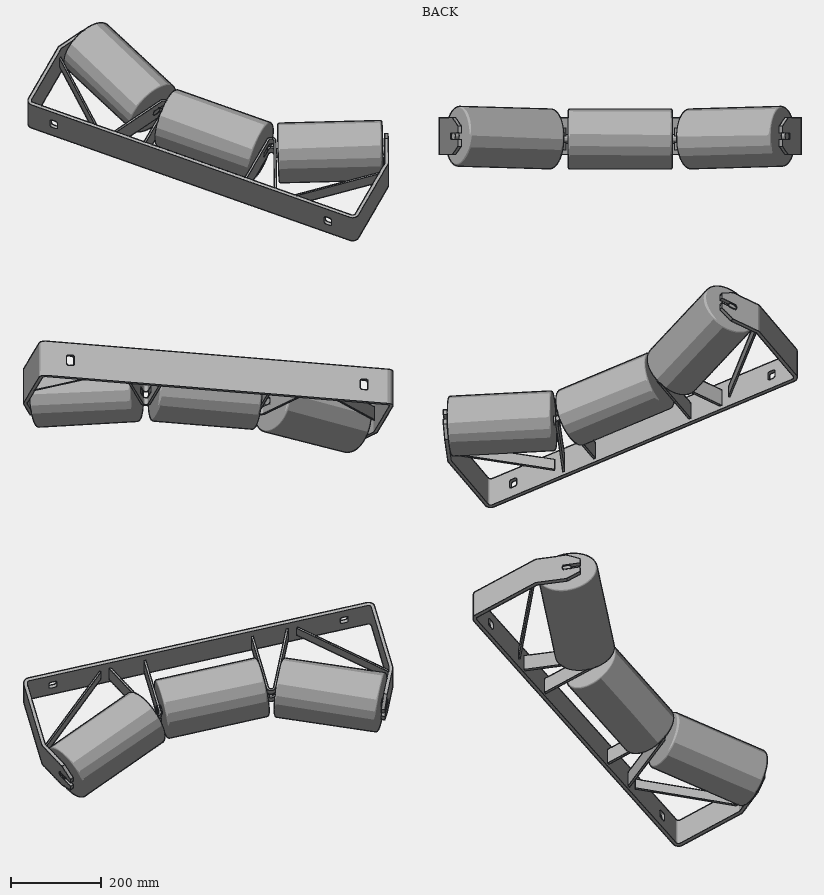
import cadquery as cq
import math

frame_length = 800.0
frame_height = 82.0
frame_thickness = 8.0
frame_bend_radius = 14.0
half_length = frame_length / 2
trough_angle = 25.0
wing_start = 175.0
wing_length = 99.0
wing_chamfer_along = 30.0
wing_chamfer_across = 18.0
mount_spacing = 664.0
mount_width = 18.0
mount_height = 25.0
mount_corner_radius = 5.0

roller_diameter = 133.0
roller_length = 230.0
roller_edge_radius = 5.0
shaft_diameter = 20.0
shaft_flat_width = 14.0
shaft_stub = 10.0
shaft_neck = 4.0
forward_tilt = 1.5
centre_roller_y = 125.0
centre_roller_z = -6.0
side_roller_x = -255.0
side_roller_y = 184.0
side_roller_z = centre_roller_z / 2
shaft_length = roller_length + 2 * shaft_stub

hairpin_height = 48.0
hairpin_thickness = 5.0
hairpin_bend_radius = 10.0
hairpin_top = 153.0

brace_height = 30.0
brace_thickness = 4.0
brace_wall_y = 164.0
brace_foot_x = -226.0

slope_sin = math.sin(math.radians(trough_angle))
slope_cos = math.cos(math.radians(trough_angle))
slope_half_tan = math.tan(math.radians(trough_angle / 2))
frame_inner_x = half_length - frame_thickness
shaft_end_x = shaft_length / 2


def place_centre(shape):
    return shape.translate((0, centre_roller_y, centre_roller_z))


def place_left(shape):
    """Swing a shape from the X axis onto the left roller axis."""
    tilted = shape.rotate((0, 0, 0), (0, 1, 0), forward_tilt)
    swung = tilted.rotate((0, 0, 0), (0, 0, 1), -trough_angle)
    return swung.translate((side_roller_x, side_roller_y, side_roller_z))


def round_bar(diameter, length):
    """Cylinder along X, centred on the origin."""
    return cq.Workplane("YZ", origin=(-length / 2, 0, 0)).circle(diameter / 2).extrude(length)


def flatted_bar(length):
    """Round bar along X with two flats facing +Z and -Z."""
    bar = round_bar(shaft_diameter, length)
    return bar.intersect(cq.Workplane("XY").box(length, shaft_diameter, shaft_flat_width))


def make_roller():
    """Roller along X: drum, round shaft necks and flatted shaft ends in one body."""
    drum = round_bar(roller_diameter, roller_length)
    drum = drum.faces("<X or >X").edges().fillet(roller_edge_radius)
    neck = round_bar(shaft_diameter, roller_length + 2 * shaft_neck)
    return drum.union(neck).union(flatted_bar(shaft_length))


def make_shaft_slot():
    """Open slot in which a roller's shaft ends rest, running out towards +Y."""
    reach = shaft_length + 2 * frame_thickness
    opening = roller_diameter / 2
    mouth = cq.Workplane("XY").box(reach, opening, shaft_flat_width)
    return flatted_bar(reach).union(mouth.translate((0, opening / 2, 0)))


def make_frame():
    """Bent strip: long base, two side walls and two wings leaning inwards."""
    outer_base = (-half_length, 0)
    outer_bend = (-half_length, wing_start)
    outer_tip = (-half_length + wing_length * slope_sin, wing_start + wing_length * slope_cos)
    inner_tip = (outer_tip[0] + frame_thickness * slope_cos, outer_tip[1] - frame_thickness * slope_sin)
    inner_bend = (-frame_inner_x, wing_start - frame_thickness * slope_half_tan)
    inner_base = (-frame_inner_x, frame_thickness)

    left_half = [inner_base, inner_bend, inner_tip, outer_tip, outer_bend, outer_base]
    outline = left_half + [(-x, y) for x, y in reversed(left_half)]
    strip = cq.Workplane("XY").polyline(outline).close().extrude(frame_height / 2, both=True)

    inner_radius = frame_bend_radius - frame_thickness
    bends = [(outer_base, frame_bend_radius), (inner_base, inner_radius)]
    bends += [(outer_bend, frame_bend_radius), (inner_bend, inner_radius)]
    for (x, y), radius in bends:
        for side in (1, -1):
            strip = strip.edges(cq.NearestToPointSelector((side * x, y, 0))).fillet(radius)

    wing_plane = cq.Plane(
        origin=(outer_tip[0], outer_tip[1], 0),
        xDir=(slope_sin, slope_cos, 0),
        normal=(slope_cos, -slope_sin, 0),
    )
    for edge in (1, -1):
        corner_z = edge * frame_height / 2
        corner = [(0, corner_z), (-wing_chamfer_along, corner_z), (0, corner_z - edge * wing_chamfer_across)]
        chamfer = cq.Workplane(wing_plane).polyline(corner).close().extrude(frame_thickness)
        strip = strip.cut(chamfer).cut(chamfer.mirror("YZ"))

    mounts = (
        cq.Workplane("XZ")
        .pushPoints([(-mount_spacing / 2, 0), (mount_spacing / 2, 0)])
        .rect(mount_width, mount_height)
        .extrude(-frame_thickness)
        .edges("|Y")
        .fillet(mount_corner_radius)
    )
    slot = place_left(make_shaft_slot())
    return strip.cut(mounts).cut(slot).cut(slot.mirror("YZ"))


def make_hairpin():
    """Left hairpin: an upright leg and a leaning leg joined by a round bend."""
    upright_x = -(shaft_end_x - hairpin_thickness)
    bend_x = upright_x - hairpin_bend_radius
    bend_y = hairpin_top - hairpin_bend_radius

    def leaning_foot(radius):
        drop = bend_y - frame_thickness
        return (bend_x - (radius + drop * slope_sin) / slope_cos, frame_thickness)

    def bend_end(radius):
        return (bend_x - radius * slope_cos, bend_y + radius * slope_sin)

    outer = hairpin_bend_radius
    inner = outer - hairpin_thickness
    profile = (
        cq.Workplane("XY")
        .moveTo(bend_x + outer, frame_thickness)
        .lineTo(bend_x + outer, bend_y)
        .threePointArc((bend_x, bend_y + outer), bend_end(outer))
        .lineTo(*leaning_foot(outer))
        .lineTo(*leaning_foot(inner))
        .lineTo(*bend_end(inner))
        .threePointArc((bend_x, bend_y + inner), (bend_x + inner, bend_y))
        .lineTo(bend_x + inner, frame_thickness)
        .close()
    )
    hairpin = profile.extrude(hairpin_height / 2, both=True).translate((0, 0, centre_roller_z))
    slot = make_shaft_slot()
    return hairpin.cut(place_centre(slot)).cut(place_left(slot))


def make_brace():
    """Left brace: a flat strip from the side wall down to the base, cut square at its foot."""
    run = brace_foot_x + frame_inner_x
    drop = brace_wall_y - frame_thickness
    length = math.hypot(run, drop)
    across = (brace_thickness * drop / length, brace_thickness * run / length)
    outline = [
        (-frame_inner_x, brace_wall_y),
        (brace_foot_x, frame_thickness),
        (brace_foot_x + across[0], frame_thickness + across[1]),
        (-frame_inner_x, brace_wall_y + brace_thickness * length / run),
    ]
    return cq.Workplane("XY").polyline(outline).close().extrude(brace_height / 2, both=True)


frame = make_frame()
roller = make_roller()
centre_roller = place_centre(roller)

bodies = [frame.solids().val(), centre_roller.solids().val()]
for left_body in (place_left(roller), make_hairpin(), make_brace()):
    bodies.append(left_body.solids().val())
    bodies.append(left_body.mirror("YZ").solids().val())

result = cq.Compound.makeCompound(bodies)